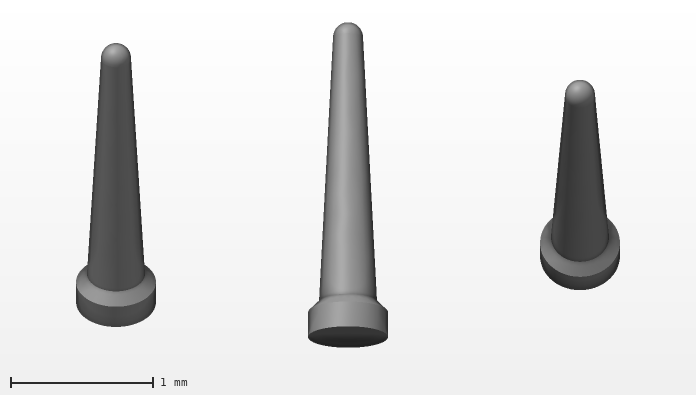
import cadquery as cq
import math

total_height = 2.29
base_radius = 0.56 / 2

base_height = 0.18
shaft_bottom_radius = 0.204
shoulder_top = base_height + (base_radius - shaft_bottom_radius)

tip_radius = 0.105
shaft_top = total_height - tip_radius
tip_mid_offset = tip_radius * math.sqrt(0.5)

profile = (
    cq.Workplane("XZ")
    .lineTo(base_radius, 0)
    .lineTo(base_radius, base_height)
    .lineTo(shaft_bottom_radius, shoulder_top)
    .lineTo(tip_radius, shaft_top)
    .threePointArc((tip_mid_offset, shaft_top + tip_mid_offset), (0, total_height))
    .close()
)

result = profile.revolve(360, (0, 0, 0), (0, 1, 0))